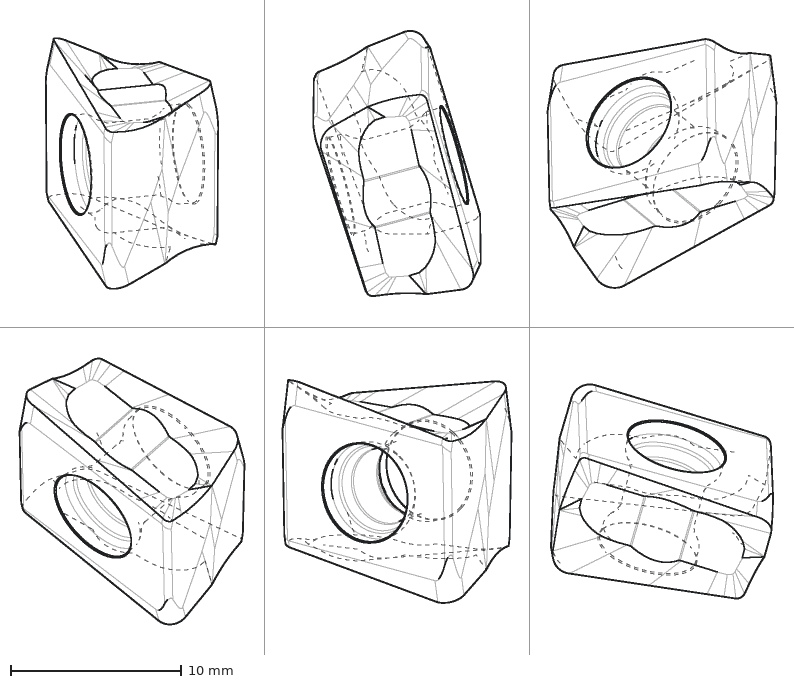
import cadquery as cq


THICKNESS = 7.0
HALF_WIDTH = 6.245
BLOCK = 40.0
NOSE_RADIUS = 1.15
LOW_END_RADIUS = 0.48
CORNER_RADIUS = 0.38

FACE_Y = -THICKNESS / 2

FLANK_HIGH_X = -4.84
FLANK_LOW_X = 5.32
FLANK_HIGH_Z = 4.65
FLANK_LOW_Z = 3.555
EDGE_HIGH_Z = 6.045
EDGE_LOW_Z = 3.98
FLANK_LEAN = 0.223

SIDE_TIP = (-6.215, 0.0, 4.57)
CREST = (-HALF_WIDTH, -0.28, -1.10)
SIDE_FOOT = (-6.215, 0.0, -4.57)
SIDE_FRONT = (-5.79, -3.19, -3.30)
FACET_LOW_YZ = (-0.87, 0.64)
FACET_NOSE_YZ = (-2.41, 4.40)

FLOOR_Z = 3.92
HUMP_HALF_LENGTH = 1.5
HUMP_HEIGHT = 0.285
HUMP_BLEND = 0.25
POCKET_TOP_Z = 8.0
BODY_HALF_HEIGHT = 7.0
RIM_CLEARANCE = 1.004

BORE_RADIUS = 2.25
BLEND_RADIUS = 2.285
CONE_RADIUS = 2.54
SEAT_RADIUS = 2.66
WALL_RADIUS = 2.91
MOUTH_RADIUS = 3.0
MOUTH_BREAK = 0.07
BORE_DEPTH = 2.25
BLEND_DEPTH = 2.07
CONE_DEPTH = 1.46
SEAT_DEPTH = 1.28
WALL_DEPTH = 0.87
SEAT_BULGE = 0.04


def turn(shape, axis):
    """Half turn about one of the coordinate axes."""
    return shape.rotate((0, 0, 0), axis, 180)


X_AXIS = (1, 0, 0)
Y_AXIS = (0, 1, 0)
Z_AXIS = (0, 0, 1)


def trim(body, points):
    """Remove everything beyond the plane through three points, away from the origin."""
    a, b, c = [cq.Vector(*p) for p in points]
    normal = (b - a).cross(c - a)
    if normal.dot(a) < 0:
        normal = normal * -1
    plane = cq.Plane(origin=a, normal=normal)
    return body.cut(cq.Workplane(plane).rect(2 * BLOCK, 2 * BLOCK).extrude(BLOCK))


def flank_point(x, z):
    """Point on the front flank at the given x and z."""
    slope = (FLANK_LOW_Z - FLANK_HIGH_Z) / (FLANK_LOW_X - FLANK_HIGH_X)
    foot_z = FLANK_HIGH_Z + slope * (x - FLANK_HIGH_X)
    return (x, FACE_Y + FLANK_LEAN * (z - foot_z), z)


def edge_point(x):
    """Point on the straight long cutting edge at the given x."""
    slope = (EDGE_LOW_Z - EDGE_HIGH_Z) / (FLANK_LOW_X - FLANK_HIGH_X)
    return flank_point(x, EDGE_HIGH_Z + slope * (x - FLANK_HIGH_X))


def side_point(facet, y, z):
    """Point on a side facet, given by three of its points, at the given y and z."""
    a, b, c = [cq.Vector(*p) for p in facet]
    normal = (b - a).cross(c - a)
    x = a.x - (normal.y * (y - a.y) + normal.z * (z - a.z)) / normal.x
    return (x, y, z)


LARGE_FLANK = [CREST, SIDE_FOOT, SIDE_FRONT]
FACET_LOW = side_point(LARGE_FLANK, *FACET_LOW_YZ)
FACET_NOSE = side_point(LARGE_FLANK, *FACET_NOSE_YZ)
CLEARANCE_FACET = [SIDE_TIP, FACET_LOW, FACET_NOSE]
MIDDLE_FACET = [SIDE_TIP, FACET_LOW, CREST]


def stock():
    """Oversize block from which each wedge is trimmed."""
    return cq.Workplane("XY").box(BLOCK, BLOCK, BLOCK)


def nose_wedge():
    """Front flank rounded into the -X clearance facet and into the large +X side flank."""
    flank = [flank_point(FLANK_HIGH_X, FLANK_HIGH_Z), flank_point(FLANK_LOW_X, FLANK_LOW_Z),
             edge_point(FLANK_HIGH_X)]
    wedge = trim(stock(), flank)
    wedge = trim(wedge, CLEARANCE_FACET)
    wedge = trim(wedge, [(-x, y, -z) for x, y, z in LARGE_FLANK])
    wedge = wedge.edges(cq.NearestToPointSelector((-HALF_WIDTH, FACE_Y, 0))).fillet(NOSE_RADIUS)
    return wedge.edges(cq.NearestToPointSelector((HALF_WIDTH, FACE_Y, 0))).fillet(LOW_END_RADIUS)


def side_wedge():
    """Front seating face and the large side flank, joined by the corner radius."""
    wedge = trim(stock(), [(0, FACE_Y, 0), (1, FACE_Y, 0), (0, FACE_Y, 1)])
    wedge = trim(wedge, LARGE_FLANK)
    corner = (SIDE_FRONT[0], FACE_Y, 0)
    wedge = wedge.edges(cq.NearestToPointSelector(corner)).fillet(CORNER_RADIUS)
    return trim(wedge, MIDDLE_FACET)


def flanked_body():
    """Body bounded by all flanks and seating faces, with plain overlong ends."""
    quarter = nose_wedge().intersect(side_wedge())
    body = quarter.intersect(cq.Workplane("XY").box(BLOCK, BLOCK, 2 * BODY_HALF_HEIGHT))
    for axis in (X_AXIS, Y_AXIS, Z_AXIS):
        body = body.intersect(turn(quarter, axis))
    return body


def curve(points):
    """Line through two points or arc through three."""
    vectors = [cq.Vector(*p) for p in points]
    if len(vectors) == 2:
        return cq.Edge.makeLine(*vectors)
    return cq.Edge.makeThreePointArc(*vectors)


def outside(points):
    """Rim points moved slightly out, so that the pocket wall reaches past the flanks."""
    return [(x * RIM_CLEARANCE, y * RIM_CLEARANCE, z) for x, y, z in points]


def half_turned(points):
    """The (x, y) or (x, y, z) points after a half turn about Z."""
    return [(-x, -y, *rest) for x, y, *rest in points]


LOW_FLANK = [(x, -y, -z) for x, y, z in LARGE_FLANK]
RIM_START = edge_point(FLANK_LOW_X)
NOSE_MIDDLE = (-5.775, -2.795, 5.94)
NOSE_END = side_point(CLEARANCE_FACET, -2.14, 5.67)
LOW_SIDE_MIDDLE = side_point(LOW_FLANK, 1.2, 3.97)
LOW_SIDE_END = side_point(LOW_FLANK, 2.38, 3.76)
LOW_CORNER_START = side_point(LOW_FLANK, 3.12, 3.76)
LOW_CORNER_MIDDLE = (-5.65, 3.37, 3.84)
RIM_END = half_turned([RIM_START])[0]
FLOOR_START = (4.77, -1.89)

WALL_STEPS = [
    ([edge_point(4.59)], [(4.45, -2.0)]),
    ([edge_point(3.55)], [(3.85, -1.99)]),
    ([edge_point(0.0)], [(1.6, -1.8)]),
    ([edge_point(FLANK_HIGH_X)], [(-1.75, -1.57)]),
    ([NOSE_MIDDLE, NOSE_END], [(-2.7, -1.5), (-3.3, -1.385)]),
    ([SIDE_TIP], [(-4.1, -1.0), (-4.8, -0.35)]),
    ([], [(-5.03, 0.11)]),
    ([], [(-5.05, 0.72)]),
    ([LOW_SIDE_MIDDLE, LOW_SIDE_END], [(-4.88, 1.5)]),
    ([LOW_CORNER_START], [(-4.85, 1.7)]),
    ([LOW_CORNER_MIDDLE, RIM_END], [half_turned([FLOOR_START])[0]]),
]


def wall_stretches():
    """Matching rim and floor stretches all the way round the pocket."""
    half = []
    rim = [RIM_START]
    floor = [FLOOR_START]
    for rim_added, floor_added in WALL_STEPS:
        rim = rim[-1:] + rim_added
        floor = floor[-1:] + floor_added
        half.append((rim, floor))
    return half + [(half_turned(rim), half_turned(floor)) for rim, floor in half]


def pocket():
    """Chip-breaker pocket above the +Z end, without its hump."""
    faces = []
    floor_edges = []
    lid_edges = []
    for rim, floor in wall_stretches():
        rim = outside(rim)
        floor = [(x, y, FLOOR_Z) for x, y in floor]
        floor_edges.append(curve(floor))
        if len(rim) == 1:
            corner = cq.Wire.makePolygon([cq.Vector(*p) for p in floor + rim], close=True)
            faces.append(cq.Face.makeFromWires(corner))
            continue
        lid = [(x, y, POCKET_TOP_Z) for x, y, z in rim]
        lid_edges.append(curve(lid))
        faces.append(cq.Face.makeRuledSurface(curve(rim), floor_edges[-1]))
        faces.append(cq.Face.makeRuledSurface(curve(rim), lid_edges[-1]))
    for edges in (floor_edges, lid_edges):
        faces.append(cq.Face.makeFromWires(cq.Wire.assembleEdges(edges)))
    return cq.Workplane(cq.Solid.makeSolid(cq.Shell.makeShell(faces)).fix())


def hump():
    """Shallow cylindrical rise across the middle of the pocket floor."""
    return (cq.Workplane("XZ").moveTo(-HUMP_HALF_LENGTH, FLOOR_Z)
            .threePointArc((0, FLOOR_Z + HUMP_HEIGHT), (HUMP_HALF_LENGTH, FLOOR_Z))
            .close().extrude(THICKNESS / 2, both=True))


def screw_hole():
    """Hole along Y: short bore widening through a cone and a rounded seat to both faces."""
    half = THICKNESS / 2
    seat_middle = ((SEAT_RADIUS + WALL_RADIUS) / 2 + SEAT_BULGE,
                   half - (SEAT_DEPTH + WALL_DEPTH) / 2)
    profile = (cq.Workplane("XY").lineTo(BORE_RADIUS, 0)
               .lineTo(BORE_RADIUS, half - BORE_DEPTH)
               .tangentArcPoint((BLEND_RADIUS, half - BLEND_DEPTH), relative=False)
               .lineTo(CONE_RADIUS, half - CONE_DEPTH)
               .lineTo(SEAT_RADIUS, half - SEAT_DEPTH)
               .threePointArc(seat_middle, (WALL_RADIUS, half - WALL_DEPTH))
               .lineTo(MOUTH_RADIUS - MOUTH_BREAK, half - MOUTH_BREAK)
               .lineTo(MOUTH_RADIUS, half).lineTo(0, half).close())
    one_side = profile.revolve(360, (0, 0, 0), (0, 1, 0))
    return one_side.union(turn(one_side, X_AXIS))


def chip_breaker_cutter():
    """Pocket with the hump left standing and blended into the floor along both its feet."""
    cutter = pocket().cut(hump())
    for foot_x in (-HUMP_HALF_LENGTH, HUMP_HALF_LENGTH):
        foot = cq.NearestToPointSelector((foot_x, 0, FLOOR_Z))
        cutter = cutter.edges(foot).fillet(HUMP_BLEND)
    return cutter


chip_breaker = chip_breaker_cutter()
result = (flanked_body()
          .cut(chip_breaker)
          .cut(turn(chip_breaker, Y_AXIS))
          .cut(screw_hole()))